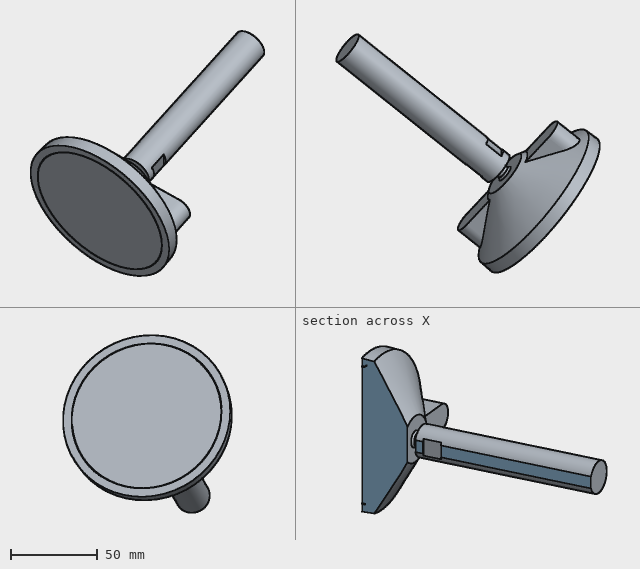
import cadquery as cq


foot_diameter = 98.0
rim_top_diameter = 97.2
rim_height = 8.2
foot_top_diameter = 28.8
foot_height = 30.0

groove_outer_diameter = 88.0
groove_inner_diameter = 87.5
groove_depth = 2.0

lug_span = 88.0
lug_width = 16.0
lug_top = 28.0

overall_length = 150.0
stem_diameter = 20.0
stem_start = 35.0
neck_diameter = 7.8
neck_flare_diameter = 10.2
neck_flare_height = 1.35

flat_start = 40.0
flat_length = 11.7
width_across_flats = 17.0


def cylinder(diameter, start, length):
    """Solid cylinder along +Y, beginning at Y = start."""
    return (
        cq.Workplane("XZ", origin=(0, start, 0))
        .circle(diameter / 2)
        .extrude(-length)
    )


def make_foot():
    """Tapered rim with a conical top."""
    profile = (
        cq.Workplane("XY")
        .lineTo(foot_diameter / 2, 0)
        .lineTo(rim_top_diameter / 2, rim_height)
        .lineTo(foot_top_diameter / 2, foot_height)
        .lineTo(0, foot_height)
        .close()
    )
    return profile.revolve(360, (0, 0, 0), (0, 1, 0))


def make_lugs():
    """Round-ended bar along X that emerges from both sides of the cone."""
    return (
        cq.Workplane("XZ", origin=(0, rim_height, 0))
        .slot2D(lug_span, lug_width)
        .extrude(-(lug_top - rim_height))
    )


def make_pad_groove():
    """Thin ring cut into the underside of the foot."""
    outer = cylinder(groove_outer_diameter, 0, groove_depth)
    inner = cylinder(groove_inner_diameter, 0, groove_depth)
    return outer.cut(inner)


def make_neck():
    """Thin neck between foot and stem, flared where it meets the foot."""
    profile = (
        cq.Workplane("XY")
        .moveTo(0, foot_height)
        .lineTo(neck_flare_diameter / 2, foot_height)
        .lineTo(neck_diameter / 2, foot_height + neck_flare_height)
        .lineTo(neck_diameter / 2, stem_start)
        .lineTo(0, stem_start)
        .close()
    )
    return profile.revolve(360, (0, 0, 0), (0, 1, 0))


def make_stem():
    """Round stem with two opposite wrench flats facing -X and +X."""
    stem = cylinder(stem_diameter, stem_start, overall_length - stem_start)
    flat_depth = (stem_diameter - width_across_flats) / 2
    flat_center_x = (width_across_flats + flat_depth) / 2
    for side in (-1, 1):
        cutter = cq.Workplane("XY").box(flat_depth, flat_length, stem_diameter)
        center = (side * flat_center_x, flat_start + flat_length / 2, 0)
        stem = stem.cut(cutter.translate(center))
    return stem


foot = make_foot().union(make_lugs()).cut(make_pad_groove())
result = foot.union(make_neck()).union(make_stem())